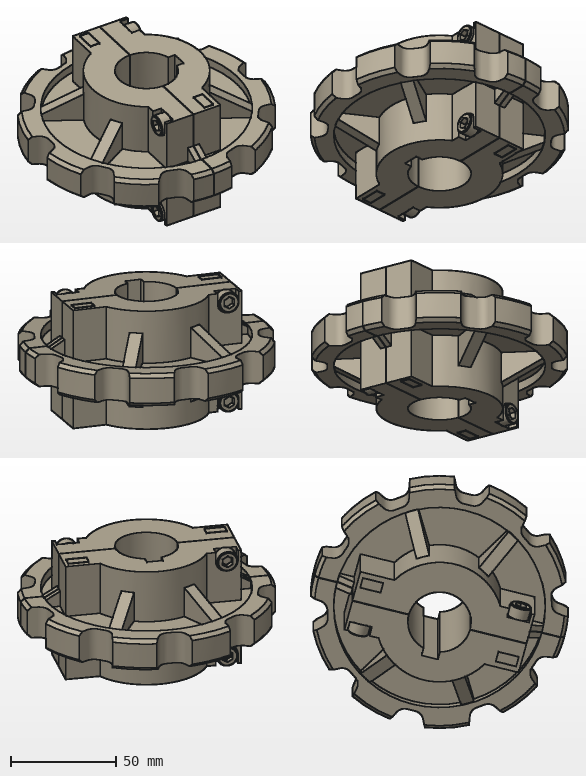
import cadquery as cq
import math

hub_height = 59.0
hub_radius = 30.0
bore_radius = 15.0
key_width = 8.0
key_depth = 3.3
arm_span = 85.4
arm_width = 30.0
split_gap = 0.25

tooth_count = 10
tip_radius = 61.25
rim_inner_radius = 50.2
rim_height = 16.0
tip_chamfer_radial = 1.9
tip_chamfer_axial = 1.8
notch_floor_radius = 53.25
notch_mouth_half_width = 8.65
notch_side_angle = 25.7
notch_corner_radius = 5.0
web_thickness = 7.0
rib_count = 6
rib_width = 6.3
rib_hub_height = 18.5
rib_rim_radius = 48.5

thread_diameter = 6.0
head_diameter = 10.0
head_height = 6.0
head_chamfer = 0.5
socket_width = 5.0
socket_depth = 3.0
head_seat_y = 10.5
head_pocket_width = 10.8
nut_width = 10.0
nut_thickness = 5.0
nut_inner_y = 7.3
screw_x = 35.8
screw_z = 24.79

pitch_angle = 360.0 / tooth_count
arm_face_y = arm_width / 2
nut_outer_y = nut_inner_y + nut_thickness


def centered_cylinder(radius, height):
    return cq.Workplane("XY").circle(radius).extrude(height / 2, both=True)


def rim_ring():
    """Ring with conical chamfers on both edges of the tooth tips."""
    half = rim_height / 2
    ring = (
        cq.Workplane("XZ")
        .moveTo(rim_inner_radius, -half)
        .lineTo(tip_radius - tip_chamfer_radial, -half)
        .lineTo(tip_radius, -half + tip_chamfer_axial)
        .lineTo(tip_radius, half - tip_chamfer_axial)
        .lineTo(tip_radius - tip_chamfer_radial, half)
        .lineTo(rim_inner_radius, half)
        .close()
        .revolve(360, (0, 0, 0), (0, 1, 0))
    )
    return ring


def tooth_notch():
    """Flared gap between two teeth, centred on +X, with rounded floor corners."""
    flare = math.tan(math.radians(notch_side_angle))
    mouth_radius = math.sqrt(tip_radius**2 - notch_mouth_half_width**2)
    outer_radius = tip_radius + 1.0
    floor_half = notch_mouth_half_width - (mouth_radius - notch_floor_radius) * flare
    outer_half = notch_mouth_half_width + (outer_radius - mouth_radius) * flare
    return (
        cq.Workplane("XY")
        .moveTo(notch_floor_radius, -floor_half)
        .lineTo(outer_radius, -outer_half)
        .lineTo(outer_radius, outer_half)
        .lineTo(notch_floor_radius, floor_half)
        .close()
        .extrude(rim_height / 2, both=True)
        .edges("|Z and <X")
        .fillet(notch_corner_radius)
    )


def rib():
    """Gusset along +X on both faces of the web, tapering from the hub to the rim."""
    half = rim_height / 2
    slope = (rib_hub_height - half) / (rib_rim_radius - hub_radius)
    rim_end_z = rib_hub_height - slope * (rim_inner_radius - hub_radius)
    root_radius = (bore_radius + hub_radius) / 2
    return (
        cq.Workplane("XZ")
        .moveTo(root_radius, -rib_hub_height)
        .lineTo(hub_radius, -rib_hub_height)
        .lineTo(rim_inner_radius, -rim_end_z)
        .lineTo(rim_inner_radius, rim_end_z)
        .lineTo(hub_radius, rib_hub_height)
        .lineTo(root_radius, rib_hub_height)
        .close()
        .extrude(rib_width / 2, both=True)
    )


def sprocket_blank():
    """Whole sprocket before it is split and drilled for the clamp screws."""
    blank = centered_cylinder(hub_radius, hub_height)
    blank = blank.union(cq.Workplane("XY").box(arm_span, arm_width, hub_height))
    blank = blank.union(centered_cylinder(rim_inner_radius + 1.0, web_thickness))
    blank = blank.union(rim_ring())
    for i in range(rib_count):
        blank = blank.union(rib().rotate((0, 0, 0), (0, 0, 1), i * 360.0 / rib_count))
    for i in range(tooth_count):
        angle = (i + 0.5) * pitch_angle
        blank = blank.cut(tooth_notch().rotate((0, 0, 0), (0, 0, 1), angle))
    blank = blank.cut(centered_cylinder(bore_radius, hub_height))
    key_top = bore_radius + key_depth
    keyway = cq.Workplane("XY").box(key_width, key_top, hub_height).translate((0, key_top / 2, 0))
    return blank.cut(keyway)


def along_y(radius, y_start, y_end):
    """Cylinder on the Y axis between two Y positions."""
    return cq.Workplane("XZ", origin=(0, y_end, 0)).circle(radius).extrude(y_end - y_start)


def screw():
    """Socket head screw on the Y axis, head towards +Y, ending flush with its nut."""
    head_top = head_seat_y + head_height
    head = along_y(head_diameter / 2, head_seat_y, head_top).faces(">Y").chamfer(head_chamfer)
    socket = (
        cq.Workplane("XZ", origin=(0, head_top, 0))
        .polygon(6, socket_width, circumscribed=True)
        .extrude(socket_depth)
    )
    shank = along_y(thread_diameter / 2, -nut_outer_y, head_seat_y)
    return head.cut(socket).union(shank)


def nut():
    """Square nut on the Y axis, on the -Y side of the split."""
    blank = cq.Workplane("XY").box(nut_width, nut_thickness, nut_width)
    blank = blank.translate((0, -(nut_inner_y + nut_thickness / 2), 0))
    return blank.cut(along_y(thread_diameter / 2, -nut_outer_y, -nut_inner_y))


def screw_cutout():
    """Head pocket, shank hole and nut pocket, both pockets open towards +Z."""
    pocket_depth = arm_face_y - head_seat_y
    cutout = along_y(thread_diameter / 2, -nut_outer_y, head_seat_y)
    cutout = cutout.union(along_y(head_pocket_width / 2, head_seat_y, arm_face_y))
    head_slot = cq.Workplane("XY").box(
        head_pocket_width, pocket_depth, nut_width, centered=(True, False, False)
    )
    cutout = cutout.union(head_slot.translate((0, head_seat_y, 0)))
    nut_pocket = cq.Workplane("XY").box(nut_width, nut_thickness, nut_width)
    return cutout.union(nut_pocket.translate((0, -(nut_inner_y + nut_thickness / 2), 0)))


def place(shape, flip_end, flip_side):
    """Move a shape built on the Y axis to one of the four screw positions."""
    placed = shape.translate((-screw_x, 0, screw_z))
    if flip_end:
        placed = placed.mirror("XY")
    if flip_side:
        placed = placed.rotate((0, 0, 0), (0, 0, 1), 180)
    return placed


positions = [(end, side) for end in (False, True) for side in (False, True)]

screws = [place(screw(), *position) for position in positions]
nuts = [place(nut(), *position) for position in positions]

blank = sprocket_blank()
for position in positions:
    blank = blank.cut(place(screw_cutout(), *position))


def sprocket_half(side):
    """Part of the sprocket on one side of the split; side is +1 for +Y, -1 for -Y."""
    size = 2 * tip_radius
    keep = cq.Workplane("XY").box(size, size, size)
    return blank.intersect(keep.translate((0, side * (size + split_gap) / 2, 0)))


halves = [sprocket_half(side) for side in (1, -1)]

result = cq.Compound.makeCompound([body.val() for body in halves + screws + nuts])